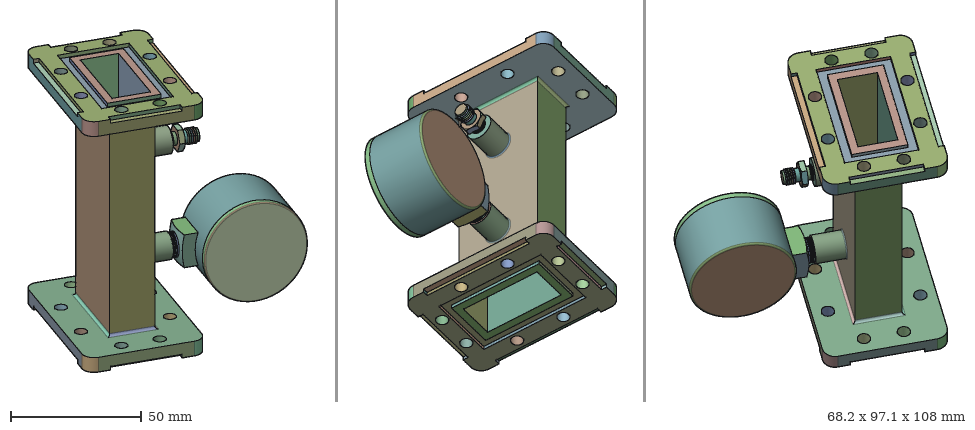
import cadquery as cq
import math

LENGTH = 108.0
TUBE_X, TUBE_Y = 37.4, 18.6
BORE_X, BORE_Y = 35.0, 15.8
FLANGE_X, FLANGE_Y = 68.2, 49.2
FLANGE_THICKNESS = 6.4
FLANGE_CORNER_RADIUS = 5.0
WELD_RADIUS = 1.1
SELECTION_MARGIN = 0.1

GROOVE_X, GROOVE_Y = 48.6, 29.4
PAD_X, PAD_Y = 41.6, 22.1
FACE_DEPTH = 1.6
NOTCH_INSET = 2.4
HOLE_DIAMETER = 5.1
LONG_EDGE_HOLE_X, LONG_EDGE_HOLE_Y = 11.0, 18.2
SHORT_EDGE_HOLE_X, SHORT_EDGE_HOLE_Y = 27.6, 7.9

PORT_RADIUS = 5.6
PORT_END_Y = 21.7
PORT_WELD_RADIUS = 0.4
VALVE_Z = 22.8
GAUGE_Z = -VALVE_Z

VALVE_RADIUS = 2.7
VALVE_THREAD_RADIUS = 3.2
VALVE_TIP_Y = 33.7
VALVE_THREAD_PITCH = 0.81
VALVE_THREAD_START_Y = 28.8
VALVE_THREAD_TURNS = 5
TAPER_PITCH = 0.4
TAPER_TURNS = 3
HEX_SIDES = 6
HEX_FLATS = 9.3
HEX_START_Y, HEX_END_Y = 24.5, 27.0
HEX_CHAMFER_ANGLE = 30.0

CASE_RADIUS = 21.2
CASE_CENTER_Y = 51.3
CASE_MIN_X, CASE_MAX_X = -9.5, 17.5
BEZEL_MIN_X = 15.0
CASE_EDGE_RADIUS = 0.8
BEZEL_EDGE_RADIUS = 0.4
BLOCK_SIZE = 14.1
BLOCK_MIN_Y = 24.3
BLOCK_FACE_RADIUS = 5.3
BLOCK_CHAMFER_ANGLE = 16.0
GAUGE_THREAD_RADIUS = 5.1
GAUGE_THREAD_ROOT_RADIUS = 4.6
GAUGE_THREAD_PITCH = 0.6
GAUGE_THREAD_TURNS = 3


def y_axis_plane(y, z):
    """Plane whose normal is +Y, with its origin on the axis X = 0 at height z."""
    return cq.Workplane(cq.Plane(origin=(0, y, z), xDir=(1, 0, 0), normal=(0, 1, 0)))


def y_cylinder(radius, start_y, end_y, z):
    return y_axis_plane(start_y, z).circle(radius).extrude(end_y - start_y)


def y_cone(start_radius, end_radius, start_y, end_y, z):
    axis = cq.Vector(0, 1, 0)
    cone = cq.Solid.makeCone(start_radius, end_radius, end_y - start_y, cq.Vector(0, start_y, z), axis)
    return cq.Workplane(cone)


def thread_ridges(body, root_radius, crest_radius, start_y, pitch, turns, z, crest_drop=0.0):
    """Add one V-shaped ring per thread turn, each crest lower than the last one by crest_drop."""
    for turn in range(turns):
        low_y = start_y + turn * pitch
        middle_y = low_y + pitch / 2
        high_y = low_y + pitch
        turn_crest = crest_radius - turn * crest_drop
        body = body.union(y_cone(root_radius, turn_crest, low_y, middle_y, z))
        body = body.union(y_cone(turn_crest, root_radius, middle_y, high_y, z))
    return body


def centered_box(size_x, size_y, bottom_z, height):
    """Box centred on the Z axis, standing on bottom_z."""
    return cq.Workplane("XY", origin=(0, 0, bottom_z)).rect(size_x, size_y).extrude(height)


def mirrored_points(x, y):
    return [(sx * x, sy * y) for sx in (-1, 1) for sy in (-1, 1)]


def make_face_relief():
    """Material removed from the mating face of the top flange."""
    bottom_z = LENGTH / 2 - FACE_DEPTH
    relief = centered_box(GROOVE_X, GROOVE_Y, bottom_z, FACE_DEPTH)
    relief = relief.cut(centered_box(PAD_X, PAD_Y, bottom_z, FACE_DEPTH))
    for side in (-1, 1):
        long_notch = centered_box(GROOVE_X, 2 * NOTCH_INSET, bottom_z, FACE_DEPTH)
        short_notch = centered_box(2 * NOTCH_INSET, GROOVE_Y, bottom_z, FACE_DEPTH)
        relief = relief.union(long_notch.translate((0, side * FLANGE_Y / 2, 0)))
        relief = relief.union(short_notch.translate((side * FLANGE_X / 2, 0, 0)))
    return relief


def make_waveguide():
    """Tube with both flanges and both ports in one piece."""
    flange_z = LENGTH / 2 - FLANGE_THICKNESS
    flange = centered_box(FLANGE_X, FLANGE_Y, flange_z, FLANGE_THICKNESS)
    flange = flange.edges("|Z").fillet(FLANGE_CORNER_RADIUS)

    body = centered_box(TUBE_X, TUBE_Y, -LENGTH / 2, LENGTH)
    body = body.union(flange).union(flange.mirror("XY"))
    weld_x = TUBE_X / 2 + SELECTION_MARGIN
    weld_y = TUBE_Y / 2 + SELECTION_MARGIN
    weld_z = flange_z + SELECTION_MARGIN
    weld_edges = cq.selectors.BoxSelector((-weld_x, -weld_y, -weld_z), (weld_x, weld_y, weld_z))
    body = body.edges(weld_edges).edges("not |Z").fillet(WELD_RADIUS)

    for port_z in (VALVE_Z, GAUGE_Z):
        body = body.union(y_cylinder(PORT_RADIUS, 0, PORT_END_Y, port_z))
        weld_center = cq.Vector(0, TUBE_Y / 2, port_z)
        body = body.edges(cq.selectors.NearestToPointSelector(weld_center)).fillet(PORT_WELD_RADIUS)

    relief = make_face_relief()
    body = body.cut(relief).cut(relief.mirror("XY"))
    body = body.cut(centered_box(BORE_X, BORE_Y, -LENGTH / 2, LENGTH))
    hole_points = mirrored_points(LONG_EDGE_HOLE_X, LONG_EDGE_HOLE_Y)
    hole_points += mirrored_points(SHORT_EDGE_HOLE_X, SHORT_EDGE_HOLE_Y)
    holes = cq.Workplane("XY", origin=(0, 0, -LENGTH / 2)).pushPoints(hole_points)
    return body.cut(holes.circle(HOLE_DIAMETER / 2).extrude(LENGTH))


def make_valve():
    """Threaded valve with a hexagon, standing on the end of the upper port."""
    body = y_cylinder(VALVE_RADIUS, PORT_END_Y, VALVE_TIP_Y, VALVE_Z)
    body = thread_ridges(
        body,
        VALVE_RADIUS,
        VALVE_THREAD_RADIUS,
        VALVE_THREAD_START_Y,
        VALVE_THREAD_PITCH,
        VALVE_THREAD_TURNS,
        VALVE_Z,
    )

    crest_drop = (VALVE_THREAD_RADIUS - VALVE_RADIUS) / TAPER_TURNS
    body = thread_ridges(
        body,
        VALVE_RADIUS,
        VALVE_THREAD_RADIUS,
        PORT_END_Y,
        TAPER_PITCH,
        TAPER_TURNS,
        VALVE_Z,
        crest_drop,
    )

    hex_length = HEX_END_Y - HEX_START_Y
    corner_diameter = HEX_FLATS / math.cos(math.pi / HEX_SIDES)
    hexagon = y_axis_plane(HEX_START_Y, VALVE_Z).polygon(HEX_SIDES, corner_diameter).extrude(hex_length)
    face_radius = HEX_FLATS / 2
    cone_radius = face_radius + hex_length / math.tan(math.radians(HEX_CHAMFER_ANGLE))
    hexagon = hexagon.intersect(y_cone(cone_radius, face_radius, HEX_START_Y, HEX_END_Y, VALVE_Z))
    return body.union(hexagon)


def case_cylinder(start_x, end_x):
    """Stretch of the gauge case, whose axis runs along X."""
    plane = cq.Workplane("YZ", origin=(start_x, CASE_CENTER_Y, GAUGE_Z))
    return plane.circle(CASE_RADIUS).extrude(end_x - start_x)


def make_gauge():
    """Gauge case with its stem block and threaded stem, which ends on the lower port."""
    case = case_cylinder(CASE_MIN_X, BEZEL_MIN_X).faces("<X").edges().fillet(CASE_EDGE_RADIUS)

    block_length = CASE_CENTER_Y - BLOCK_MIN_Y
    block = y_axis_plane(BLOCK_MIN_Y, GAUGE_Z).rect(BLOCK_SIZE, BLOCK_SIZE).extrude(block_length)
    cone_end_radius = BLOCK_FACE_RADIUS + block_length / math.tan(math.radians(BLOCK_CHAMFER_ANGLE))
    block = block.intersect(y_cone(BLOCK_FACE_RADIUS, cone_end_radius, BLOCK_MIN_Y, CASE_CENTER_Y, GAUGE_Z))

    collar_y = PORT_END_Y + GAUGE_THREAD_TURNS * GAUGE_THREAD_PITCH
    stem = y_cylinder(GAUGE_THREAD_ROOT_RADIUS, PORT_END_Y, BLOCK_MIN_Y, GAUGE_Z)
    stem = stem.union(y_cylinder(GAUGE_THREAD_RADIUS, collar_y, BLOCK_MIN_Y, GAUGE_Z))
    stem = thread_ridges(
        stem,
        GAUGE_THREAD_ROOT_RADIUS,
        GAUGE_THREAD_RADIUS,
        PORT_END_Y,
        GAUGE_THREAD_PITCH,
        GAUGE_THREAD_TURNS,
        GAUGE_Z,
    )
    return case.union(block).union(stem)


def make_bezel():
    """Front cover of the gauge, closing the +X end of the case."""
    return case_cylinder(BEZEL_MIN_X, CASE_MAX_X).faces(">X").edges().fillet(BEZEL_EDGE_RADIUS)


waveguide = make_waveguide()
valve = make_valve()
gauge = make_gauge()
bezel = make_bezel()

result = cq.Compound.makeCompound([waveguide.val(), valve.val(), gauge.val(), bezel.val()])